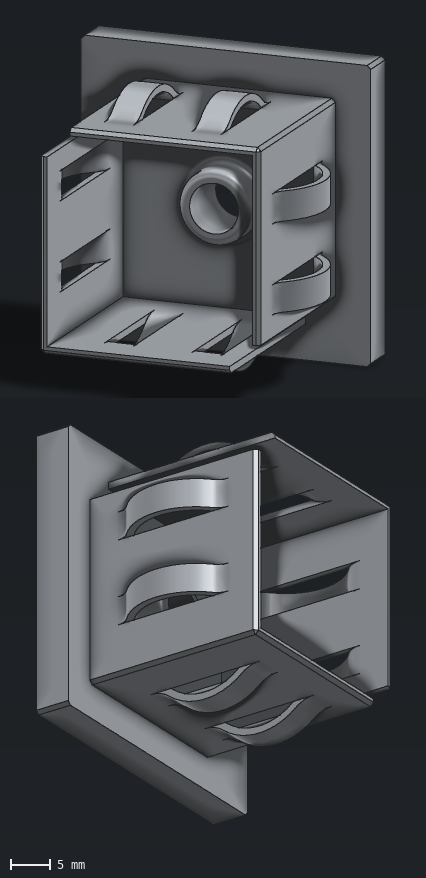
import cadquery as cq
import math

PLATE_SIZE = 40.0
PLATE_THICKNESS = 5.0
PLATE_CORNER_CHAMFER = 0.5

SLEEVE_WIDTH = 30.3
SLEEVE_LENGTH = 26.0
WALL_THICKNESS = 1.0
WALL_LEG_LENGTH = 26.2
WALL_CHAMFER = WALL_THICKNESS / 2

STRIP_WIDTH = 4.0
STRIP_OFFSET = 6.05
CROWN_RADIUS = 9.0
SIDE_STRIP_RISE = 3.85
SIDE_STRIP_HALF_SPAN = 8.55
TOP_STRIP_RISE = 3.0
TOP_STRIP_HALF_SPAN = 8.5

BOSS_RADIUS = 5.0
BOSS_HEIGHT = 4.0
BOSS_FILLET = 1.0
HOLE_RADIUS = 3.35

SLEEVE_HALF = SLEEVE_WIDTH / 2
STRIP_CENTER_Y = -SLEEVE_LENGTH / 2


def make_plate():
    plate = cq.Workplane("XY").box(PLATE_SIZE, PLATE_THICKNESS, PLATE_SIZE, centered=(True, False, True))
    return plate.edges("|Y").chamfer(PLATE_CORNER_CHAMFER)


def make_boss():
    """Turned boss with a concave root, a rounded rim and a solid core."""
    root_radius = BOSS_RADIUS + BOSS_FILLET
    rim_radius = BOSS_RADIUS - BOSS_FILLET
    bend = BOSS_FILLET * math.sqrt(0.5)
    profile = (
        cq.Workplane("XY")
        .lineTo(root_radius, 0)
        .threePointArc((root_radius - bend, bend - BOSS_FILLET), (BOSS_RADIUS, -BOSS_FILLET))
        .lineTo(BOSS_RADIUS, BOSS_FILLET - BOSS_HEIGHT)
        .threePointArc((rim_radius + bend, BOSS_FILLET - BOSS_HEIGHT - bend), (rim_radius, -BOSS_HEIGHT))
        .lineTo(0, -BOSS_HEIGHT)
        .close()
    )
    return profile.revolve(360, (0, 0, 0), (0, 1, 0))


def make_hole():
    """Cutter for the plain hole through the plate and the boss."""
    return (
        cq.Workplane("XZ", origin=(0, PLATE_THICKNESS, 0))
        .circle(HOLE_RADIUS)
        .extrude(PLATE_THICKNESS + BOSS_HEIGHT)
    )


def make_angle_wall():
    """L-shaped wall along the -X and -Z sides, chamfered on its outer edges."""
    inner = -SLEEVE_HALF + WALL_THICKNESS
    leg_end = -SLEEVE_HALF + WALL_LEG_LENGTH
    outline = cq.Workplane("XZ").polyline([
        (-SLEEVE_HALF, -SLEEVE_HALF),
        (leg_end, -SLEEVE_HALF),
        (leg_end, inner),
        (inner, inner),
        (inner, leg_end),
        (-SLEEVE_HALF, leg_end),
    ]).close()
    wall = outline.extrude(SLEEVE_LENGTH)
    leg_middle = -SLEEVE_HALF + WALL_LEG_LENGTH / 2
    outer_edges = [
        (-SLEEVE_HALF, -SLEEVE_LENGTH / 2, -SLEEVE_HALF),
        (-SLEEVE_HALF, -SLEEVE_LENGTH, leg_middle),
        (leg_middle, -SLEEVE_LENGTH, -SLEEVE_HALF),
    ]
    edges = [wall.edges(cq.NearestToPointSelector(point)).val() for point in outer_edges]
    return wall.newObject(edges).chamfer(WALL_CHAMFER)


def make_strip(rise, half_span):
    """Spring strip bulging towards +Z: a crown arc with a reverse bend at each end.

    The Z = 0 plane is the outer wall face. The bends leave that face tangentially.
    """
    turn = 2 * math.atan(rise / half_span)
    bend_radius = half_span / math.sin(turn) - CROWN_RADIUS
    crown_z = rise - CROWN_RADIUS

    def crown_point(angle, depth):
        radius = CROWN_RADIUS - depth
        return (radius * math.sin(angle), crown_z + radius * math.cos(angle))

    def bend_point(angle, depth):
        radius = bend_radius + depth
        return (half_span - radius * math.sin(angle), bend_radius - radius * math.cos(angle))

    def mirrored(point):
        return (-point[0], point[1])

    outer, inner = 0, WALL_THICKNESS
    profile = (
        cq.Workplane("YZ", origin=(-STRIP_WIDTH / 2, 0, 0))
        .moveTo(*mirrored(bend_point(0, outer)))
        .threePointArc(mirrored(bend_point(turn / 2, outer)), mirrored(crown_point(turn, outer)))
        .threePointArc(crown_point(0, outer), crown_point(turn, outer))
        .threePointArc(bend_point(turn / 2, outer), bend_point(0, outer))
        .lineTo(*bend_point(0, inner))
        .threePointArc(bend_point(turn / 2, inner), crown_point(turn, inner))
        .threePointArc(crown_point(0, inner), mirrored(crown_point(turn, inner)))
        .threePointArc(mirrored(bend_point(turn / 2, inner)), mirrored(bend_point(0, inner)))
        .close()
    )
    return profile.extrude(STRIP_WIDTH)


def make_window(half_span):
    """Cutter for the wall opening below a strip."""
    window = cq.Workplane("XY").box(STRIP_WIDTH, 2 * half_span, WALL_THICKNESS)
    return window.translate((0, 0, -WALL_THICKNESS / 2))


def place_on_wall(body, offset, side_angle):
    """Move a body from the Z = 0 plane onto the wall that side_angle turns to about Y."""
    return body.translate((offset, STRIP_CENTER_Y, SLEEVE_HALF)).rotate((0, 0, 0), (0, 1, 0), side_angle)


angle_wall = make_angle_wall()
opposite_wall = angle_wall.rotate((0, 0, 0), (0, 1, 0), 180)
bored_plate = make_plate().union(make_boss()).cut(make_hole())
result = bored_plate.union(angle_wall).union(opposite_wall)

strip_sizes = {
    0: (TOP_STRIP_RISE, TOP_STRIP_HALF_SPAN),
    90: (SIDE_STRIP_RISE, SIDE_STRIP_HALF_SPAN),
    180: (TOP_STRIP_RISE, TOP_STRIP_HALF_SPAN),
    270: (SIDE_STRIP_RISE, SIDE_STRIP_HALF_SPAN),
}
for side_angle, (rise, half_span) in strip_sizes.items():
    window = make_window(half_span)
    strip = make_strip(rise, half_span)
    for offset in (-STRIP_OFFSET, STRIP_OFFSET):
        result = result.cut(place_on_wall(window, offset, side_angle))
        result = result.union(place_on_wall(strip, offset, side_angle))